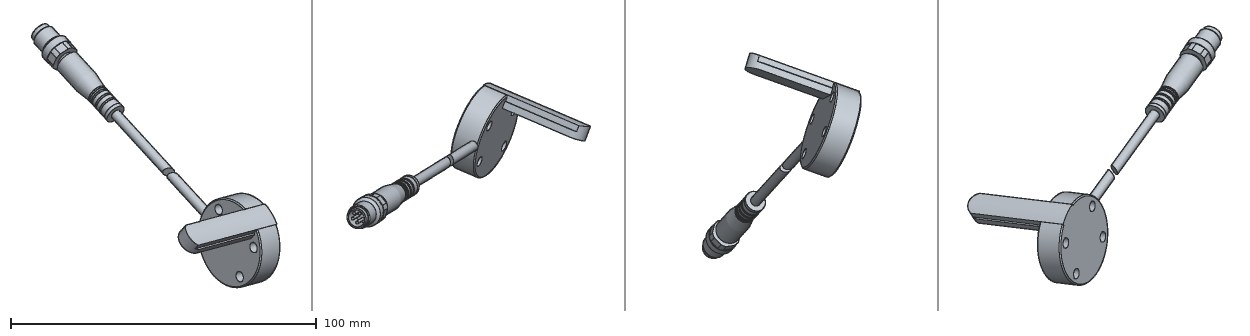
import cadquery as cq
import math

disc_diameter = 30.0
disc_thickness = 9.0
disc_chamfer = 0.4
mount_hole_diameter = 3.5
mount_hole_pitch_x = 19.0
mount_hole_pitch_z = 13.0

arm_angle = 45.0
arm_end_y = -37.9
arm_inner_radius = 9.9
arm_step_radius = 12.4
arm_outer_radius = 15.1
arm_wide_width = 9.3
arm_narrow_width = 8.1
arm_end_radius = 4.7

cable_angle = 30.0
cable_diameter = 3.5
cable_y = -disc_thickness + cable_diameter / 2
stub_length = 32.8
cable_gap = 2.3
cable_cut_slant = 2.0
cut_clearance = 1.1

plug_tip = 105.2
nose_end = 103.5
thread_end = 98.4
collar_start = 97.4
hex_start = 94.7
hex_end = 91.5
grip_start = 90.1
taper_start = 79.8
sleeve_start = 74.5
end_ring_start = 65.3
plug_end = 64.0
nose_diameter = 6.9
thread_chamfer = 0.3
thread_diameter = 8.0
collar_diameter = 10.0
hex_across_flats = 9.3
hex_corner_diameter = 9.8
neck_diameter = 5.9
grip_diameter = 8.5
sleeve_diameter = 6.9
end_ring_diameter = 7.0
groove_diameter = 6.6
groove_width = 0.6
groove_positions = (73.8, 72.4, 70.2, 68.0)

socket_diameter = 5.8
socket_depth = 5.4
pin_diameter = 1.0
pin_length = 4.6
pin_row_near_y = -0.3
pin_row_far_y = 1.5
pin_pitch_near = 3.3
pin_pitch_far = 1.9


def swing_to_cable(body):
    """Turn a body from the local cable direction (-X) to its final direction."""
    return body.rotate((0, 0, 0), (0, 1, 0), cable_angle)


def cross_section(y):
    """Workplane parallel to XZ at the given Y, extruding toward -Y."""
    return cq.Workplane("XZ", origin=(0, y, 0))


def along_cable(distance):
    """Workplane across the cable at a distance from the disc axis, extruding away from the disc."""
    return cq.Workplane(cq.Plane((-distance, cable_y, 0), (0, 1, 0), (-1, 0, 0)))


def make_cable_piece(near, far, slanted_end):
    """Cable between two distances; the slanted end reaches nearer the disc at its +Y side."""
    radius = cable_diameter / 2
    lean = cable_cut_slant / 2
    half_height = radius + cut_clearance
    half_lean = lean * half_height / radius
    near_lean = half_lean if slanted_end == "near" else 0
    far_lean = half_lean if slanted_end == "far" else 0
    reach = far + half_lean
    rod = along_cable(0).circle(radius).extrude(reach)
    outline = [
        (-near - near_lean, cable_y - half_height),
        (-near + near_lean, cable_y + half_height),
        (-far + far_lean, cable_y + half_height),
        (-far - far_lean, cable_y - half_height),
    ]
    window = cq.Workplane("XY").polyline(outline).close().extrude(cable_diameter, both=True)
    return rod.intersect(window)


def make_disc():
    disc = cross_section(0).circle(disc_diameter / 2).extrude(disc_thickness)
    return disc.faces("<Y or >Y").chamfer(disc_chamfer)


def make_mount_holes():
    holes = cross_section(0).rect(mount_hole_pitch_x, mount_hole_pitch_z, forConstruction=True)
    holes = holes.vertices().circle(mount_hole_diameter / 2).extrude(disc_thickness)
    return swing_to_cable(holes)


def make_arm():
    """Stepped bar with a cylindrical outer face and a rounded free end."""
    length = -arm_end_y
    wide_depth = arm_step_radius - arm_inner_radius
    narrow_depth = arm_outer_radius - arm_inner_radius
    bar = cross_section(0).center(arm_inner_radius + wide_depth / 2, 0)
    bar = bar.rect(wide_depth, arm_wide_width).extrude(length)
    tongue = cross_section(0).center(arm_inner_radius + narrow_depth / 2, 0)
    tongue = tongue.rect(narrow_depth, arm_narrow_width).extrude(length)
    rim = cross_section(0).circle(arm_outer_radius).extrude(length)

    half_width = arm_wide_width / 2
    end_centre_y = arm_end_y + arm_end_radius
    shoulder_y = end_centre_y - math.sqrt(arm_end_radius**2 - half_width**2)
    rounded = (
        cq.Workplane("YZ")
        .moveTo(0, -half_width)
        .lineTo(shoulder_y, -half_width)
        .threePointArc((arm_end_y, 0), (shoulder_y, half_width))
        .lineTo(0, half_width)
        .close()
        .extrude(arm_outer_radius)
    )
    arm = bar.union(tongue).intersect(rim).intersect(rounded)
    return arm.rotate((0, 0, 0), (0, 1, 0), -arm_angle)


def make_sensor():
    stub = swing_to_cable(make_cable_piece(0, stub_length, "far"))
    return make_disc().union(make_arm()).union(stub).cut(make_mount_holes())


def make_plug_shell():
    """Revolved plug from its cable end to its tip."""
    profile = [
        (plug_end, 0),
        (plug_end, end_ring_diameter / 2),
        (end_ring_start, end_ring_diameter / 2),
        (end_ring_start, sleeve_diameter / 2),
        (sleeve_start, sleeve_diameter / 2),
        (taper_start, grip_diameter / 2),
        (grip_start, grip_diameter / 2),
        (grip_start, neck_diameter / 2),
        (hex_end, neck_diameter / 2),
        (hex_end, hex_corner_diameter / 2),
        (hex_start, hex_corner_diameter / 2),
        (hex_start, collar_diameter / 2),
        (collar_start, collar_diameter / 2),
        (thread_end, thread_diameter / 2),
        (nose_end - thread_chamfer, thread_diameter / 2),
        (nose_end, thread_diameter / 2 - thread_chamfer),
        (nose_end, nose_diameter / 2),
        (plug_tip, nose_diameter / 2),
        (plug_tip, 0),
    ]
    points = [(-distance, cable_y + radius) for distance, radius in profile]
    outline = cq.Workplane("XY").polyline(points).close()
    return outline.revolve(360, (0, cable_y, 0), (1, cable_y, 0))


def make_hex_trim():
    """Material outside the hexagon; two of its flats face -Y and +Y."""
    length = hex_start - hex_end
    full_corner_diameter = hex_across_flats / math.cos(math.pi / 6)
    ring = along_cable(hex_end).circle(collar_diameter).extrude(length)
    hexagon = along_cable(hex_end).transformed(rotate=(0, 0, 30))
    hexagon = hexagon.polygon(6, full_corner_diameter).extrude(length)
    return ring.cut(hexagon)


def make_groove(position):
    ring = along_cable(position - groove_width / 2).circle(grip_diameter / 2)
    return ring.circle(groove_diameter / 2).extrude(groove_width)


def make_pins():
    """Four contact pins in a trapezoid: a wide pair near the axis and a narrow pair off it."""
    pin_centres = [
        (row_y, side * pitch / 2)
        for row_y, pitch in ((pin_row_near_y, pin_pitch_near), (pin_row_far_y, pin_pitch_far))
        for side in (-1, 1)
    ]
    floor = along_cable(plug_tip - socket_depth)
    return floor.pushPoints(pin_centres).circle(pin_diameter / 2).extrude(pin_length)


def make_plug():
    plug = make_plug_shell().cut(make_hex_trim())
    for position in groove_positions:
        plug = plug.cut(make_groove(position))
    socket = along_cable(plug_tip - socket_depth).circle(socket_diameter / 2).extrude(socket_depth)
    plug = plug.cut(socket).union(make_pins())
    cable = make_cable_piece(stub_length + cable_gap, plug_end, "near")
    return swing_to_cable(plug.union(cable))


sensor = make_sensor()
plug = make_plug()

result = cq.Compound.makeCompound([sensor.val(), plug.val()])